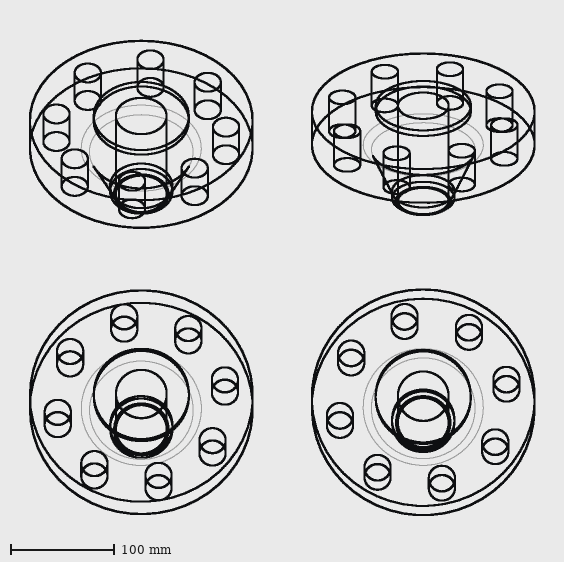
import cadquery as cq

flange_diameter = 216.0
total_height = 108.0
flange_thickness = 38.2
raised_face_diameter = 92.2
raised_face_height = 6.3
bore_diameter = 49.2

hub_base_diameter = 105.0
neck_diameter = 60.5
neck_height = 11.0
bevel_height = 3.5
bevel_width = 3.9
hub_fillet_radius = 8.6

bolt_count = 8
bolt_circle_diameter = 165.2
bolt_hole_diameter = 25.5

flange_top = total_height - raised_face_height
flange_bottom = flange_top - flange_thickness


def make_hub():
    """Bevelled weld end, short straight neck and a cone widening up to the flange."""
    neck_radius = neck_diameter / 2
    profile = (
        cq.Workplane("XZ")
        .moveTo(0, 0)
        .lineTo(neck_radius - bevel_width, 0)
        .lineTo(neck_radius, bevel_height)
        .lineTo(neck_radius, neck_height)
        .lineTo(hub_base_diameter / 2, flange_bottom)
        .lineTo(0, flange_bottom)
        .close()
    )
    return profile.revolve(360, (0, 0), (0, 1))


def make_disc(diameter, height, bottom):
    return cq.Workplane("XY").workplane(offset=bottom).circle(diameter / 2).extrude(height)


body = make_disc(flange_diameter, flange_thickness, flange_bottom).union(make_hub())
selection_margin = 2.2
corner_reach = hub_base_diameter / 2 + selection_margin
corner_zone = cq.selectors.BoxSelector(
    (-corner_reach, -corner_reach, flange_bottom - selection_margin),
    (corner_reach, corner_reach, flange_bottom + selection_margin),
    boundingbox=True,
)
body = body.edges(corner_zone).fillet(hub_fillet_radius)

body = body.union(make_disc(raised_face_diameter, raised_face_height, flange_top))

body = body.cut(make_disc(bore_diameter, total_height, 0))

bolt_holes = (
    cq.Workplane("XY")
    .workplane(offset=flange_bottom)
    .polarArray(bolt_circle_diameter / 2, 0, 360, bolt_count)
    .circle(bolt_hole_diameter / 2)
    .extrude(flange_thickness)
)
result = body.cut(bolt_holes)